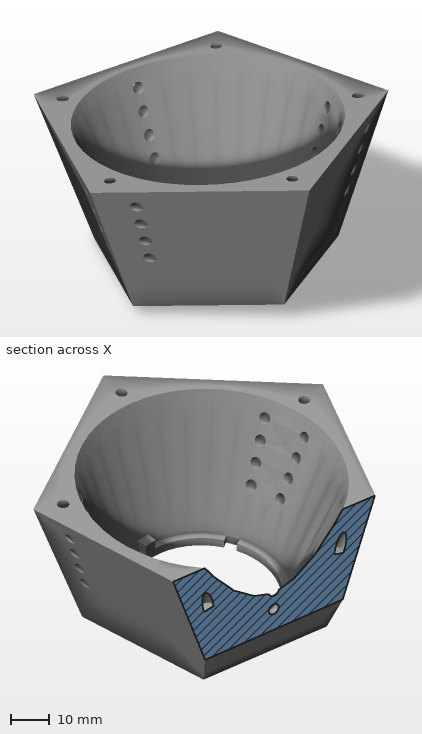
import cadquery as cq
import math

sides = 5
height = 40.0
top_width = 92.05
top_radius = top_width / (2 * math.sin(2 * math.pi / sides))
bottom_radius = 33.3
corner_taper = math.degrees(math.atan((top_radius - bottom_radius) / height))

bowl_top_radius = 35.5
bowl_bottom_radius = 21.9
opening_radius = 19.9
ledge_thickness = 2.5

key_span = 10
tab_angle = 10.5
notch_angle = -54.7
notch_overlap = 0.9
tab_outer_radius = 22.7
tab_top = 5.4

hole_diameter = 3.0
corner_hole_radius = 40.3
corner_hole_depth = 14.7
hole_overshoot = 1.8
holes_per_row = 4
row_pitch = 6.0
first_hole_depth = 5.2
radial_row_angles = (60, 180, 300)
cross_row_x = 5.1

tilt = 3.9
roll = 0.3
yaw = 0.28


def pentagon_body():
    return (
        cq.Workplane("XY")
        .polygon(sides, 2 * bottom_radius)
        .workplane(offset=height)
        .polygon(sides, 2 * top_radius)
        .loft(ruled=True, combine=True)
    )


def bowl():
    return (
        cq.Workplane("XY", origin=(0, 0, ledge_thickness))
        .circle(bowl_bottom_radius)
        .workplane(offset=height - ledge_thickness)
        .circle(bowl_top_radius)
        .loft(ruled=True, combine=True)
    )


def ring_sector(mid_angle, inner_radius, outer_radius, top):
    """Block between two radii, spanning key_span about mid_angle, from the bottom face up."""
    def point(radius, offset):
        angle = math.radians(mid_angle + offset)
        return (radius * math.cos(angle), radius * math.sin(angle))

    half = key_span / 2
    return (
        cq.Workplane("XY")
        .moveTo(*point(inner_radius, -half))
        .lineTo(*point(outer_radius, -half))
        .threePointArc(point(outer_radius, 0), point(outer_radius, half))
        .lineTo(*point(inner_radius, half))
        .threePointArc(point(inner_radius, 0), point(inner_radius, -half))
        .close()
        .extrude(top)
    )


def hole(start, direction, length):
    return cq.Workplane(
        cq.Solid.makeCylinder(hole_diameter / 2, length, cq.Vector(*start), cq.Vector(*direction))
    )


def corner_hole(angle):
    """Blind hole in the top face, running parallel to the sloping corner edge."""
    lean = math.radians(corner_taper)
    inward = math.sin(lean)
    upward = math.cos(lean)
    start = (corner_hole_radius + hole_overshoot * inward, 0, height + hole_overshoot * upward)
    drill = hole(start, (-inward, 0, -upward), corner_hole_depth + hole_overshoot)
    return drill.rotate((0, 0, 0), (0, 0, 1), angle)


body = pentagon_body().cut(bowl())
body = body.cut(cq.Workplane("XY").circle(opening_radius).extrude(ledge_thickness))
body = body.cut(ring_sector(notch_angle, opening_radius - notch_overlap, bowl_bottom_radius, ledge_thickness))
body = body.union(ring_sector(tab_angle, opening_radius, tab_outer_radius, tab_top))

for corner in range(sides):
    body = body.cut(corner_hole(corner * 360 / sides))

for row in range(holes_per_row):
    z = height - first_hole_depth - row * row_pitch
    for angle in radial_row_angles:
        radial = hole((0, 0, z), (1, 0, 0), top_radius)
        body = body.cut(radial.rotate((0, 0, 0), (0, 0, 1), angle))
    body = body.cut(hole((cross_row_x, -top_radius, z), (0, 1, 0), 2 * top_radius))

result = (
    body.rotate((0, 0, 0), (0, 0, 1), yaw)
    .rotate((0, 0, 0), (0, 1, 0), -tilt)
    .rotate((0, 0, 0), (1, 0, 0), roll)
)